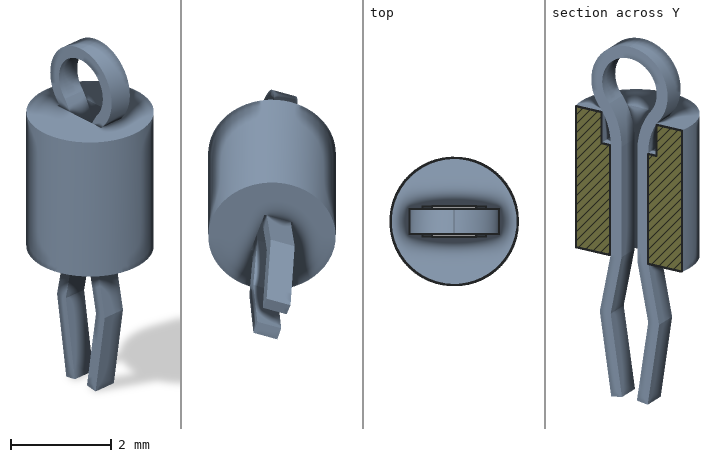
import cadquery as cq
import math

bead_diameter = 2.54
bead_height = 3.048

strip_thickness = 0.254
strip_width = 0.5

loop_inner_radius = 0.635
loop_outer_radius = loop_inner_radius + strip_thickness
loop_center_z = bead_height + 0.635

shank_inner_x = 0.183
shank_outer_x = shank_inner_x + strip_thickness

loop_end_angle = math.radians(43)
bend_depth = 0.67
bend_end_z = bead_height - bend_depth

knee_z = -1.27
knee_inner_x = 0.437
knee_outer_x = knee_inner_x + strip_thickness
leg_bottom_z = -3.048
leg_lower_angle = math.radians(8.5)

hole_width = 0.6
mouth_length = 2 * loop_inner_radius
mouth_floor_z = bend_end_z
shank_hole_length = 2 * shank_outer_x


def make_bead():
    bead = cq.Workplane("XY").circle(bead_diameter / 2).extrude(bead_height)
    shank_hole = cq.Workplane("XY").rect(shank_hole_length, hole_width).extrude(bead_height)
    mouth = (
        cq.Workplane("XY", origin=(0, 0, mouth_floor_z))
        .rect(mouth_length, hole_width)
        .extrude(bead_height - mouth_floor_z)
    )
    return bead.cut(shank_hole).cut(mouth)


def loop_point(radius, angle):
    """Point on a circle about the loop centre, at an angle below horizontal."""
    return radius * math.cos(angle), loop_center_z - radius * math.sin(angle)


def bend_middle(loop_end, shank_x):
    """Middle of the arc that runs from an end of the loop into an upright shank face."""
    offset = loop_end[0] - shank_x
    drop = loop_end[1] - bend_end_z
    radius = (offset**2 + drop**2) / (2 * offset)
    half_sweep = math.asin(drop / radius) / 2
    return shank_x + radius * (1 - math.cos(half_sweep)), bend_end_z + radius * math.sin(half_sweep)


def make_strip():
    """The strip, outlined at +X from the top of the loop to the leg tip and back, then mirrored."""
    top_angle = -math.pi / 2
    middle_angle = (top_angle + loop_end_angle) / 2
    outer_loop_end = loop_point(loop_outer_radius, loop_end_angle)
    inner_loop_end = loop_point(loop_inner_radius, loop_end_angle)

    tip_outer_x = knee_outer_x - (knee_z - leg_bottom_z) * math.tan(leg_lower_angle)
    tip_inner_x = tip_outer_x - strip_thickness * math.cos(leg_lower_angle)
    tip_inner_z = leg_bottom_z + strip_thickness * math.sin(leg_lower_angle)

    half_outline = (
        cq.Workplane("XZ", origin=(0, strip_width / 2, 0))
        .moveTo(*loop_point(loop_outer_radius, top_angle))
        .threePointArc(loop_point(loop_outer_radius, middle_angle), outer_loop_end)
        .threePointArc(bend_middle(outer_loop_end, shank_outer_x), (shank_outer_x, bend_end_z))
        .lineTo(shank_outer_x, 0)
        .lineTo(knee_outer_x, knee_z)
        .lineTo(tip_outer_x, leg_bottom_z)
        .lineTo(tip_inner_x, tip_inner_z)
        .lineTo(knee_inner_x, knee_z)
        .lineTo(shank_inner_x, 0)
        .lineTo(shank_inner_x, bend_end_z)
        .threePointArc(bend_middle(inner_loop_end, shank_inner_x), inner_loop_end)
        .threePointArc(loop_point(loop_inner_radius, middle_angle), loop_point(loop_inner_radius, top_angle))
    )
    return half_outline.mirrorY().extrude(strip_width, clean=False)


result = make_bead().union(make_strip(), clean=False)